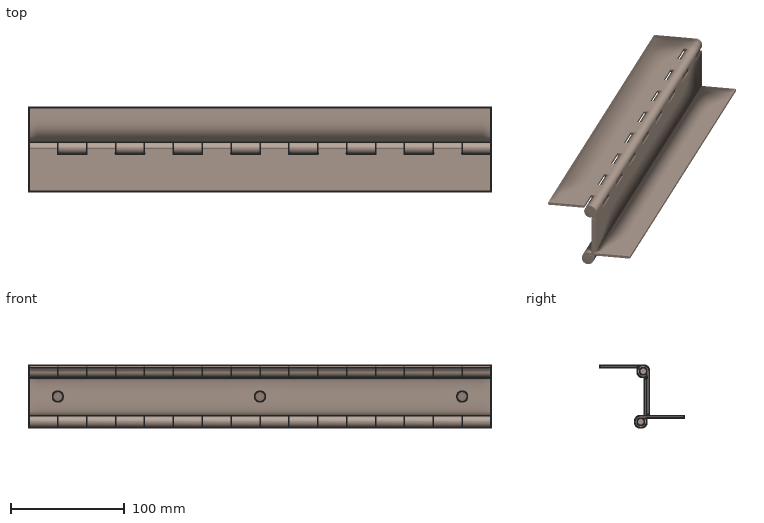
import cadquery as cq

length = 406.5
knuckle_count = 16
pin_diameter = 6.5
sheet_thickness = 2.2
overall_depth = 74.0
overall_height = 55.3
curl_gap = 0.12
hole_diameter = 9.5

knuckle_length = length / knuckle_count
pin_radius = pin_diameter / 2
barrel_radius = pin_radius + sheet_thickness
leaf_reach = (overall_depth + sheet_thickness) / 2
axis_height = overall_height / 2 - barrel_radius
axis_offset = sheet_thickness / 2
hole_inset = knuckle_length
hole_height = axis_height

lower_axis = (0, -axis_offset, -axis_height)
upper_axis = (0, axis_offset, axis_height)


def x_box(x_start, x_length, y_start, y_end, z_start, z_end):
    """Box given by its start and length along X and its limits in Y and Z."""
    box = cq.Workplane("XY").box(x_length, y_end - y_start, z_end - z_start, centered=False)
    return box.translate((x_start, y_start, z_start))


def x_cylinder(x_start, x_length, radius):
    """Cylinder around the X axis."""
    return cq.Workplane("YZ", origin=(x_start, 0, 0)).circle(radius).extrude(x_length)


def make_knuckle(x_start):
    """One curl around the pin, with the strip of leaf that runs tangentially into it."""
    barrel = x_cylinder(x_start, knuckle_length, barrel_radius)
    slit = x_box(x_start, knuckle_length, pin_radius - curl_gap, barrel_radius, 0, barrel_radius)
    strip = x_box(x_start, knuckle_length, pin_radius, barrel_radius, 0, barrel_radius)
    bore = x_cylinder(x_start, knuckle_length, pin_radius)
    return barrel.cut(slit).union(strip).cut(bore)


def make_leaf(first_knuckle):
    """Leaf standing up from a pin on the X axis, with every second knuckle from the given one."""
    leaf = x_box(-length / 2, length, pin_radius, barrel_radius, barrel_radius, leaf_reach)
    for index in range(first_knuckle, knuckle_count, 2):
        leaf = leaf.union(make_knuckle(-length / 2 + index * knuckle_length))
    return leaf


def drill_leaf(leaf):
    """Three holes along the middle of an upright leaf: one at each end and one halfway."""
    end_hole_x = length / 2 - hole_inset
    for hole_x in (-end_hole_x, 0, end_hole_x):
        drill = cq.Workplane("XZ", origin=(hole_x, barrel_radius, hole_height))
        leaf = leaf.cut(drill.circle(hole_diameter / 2).extrude(sheet_thickness))
    return leaf


def lay_flat(leaf):
    """Quarter turn about the pin axis that takes +Y to +Z."""
    return leaf.rotate((0, 0, 0), (1, 0, 0), 90)


def make_pin():
    """Pin through all the knuckles of one hinge."""
    return x_cylinder(-length / 2, length, pin_radius)


leaf_up = make_leaf(first_knuckle=0)
leaf_down = make_leaf(first_knuckle=1).mirror("XY")

lower_upright_leaf = drill_leaf(leaf_up).translate(lower_axis)
lower_flat_leaf = lay_flat(leaf_down).translate(lower_axis)

upper_upright_leaf = leaf_down.translate(upper_axis)
upper_flat_leaf = lay_flat(leaf_up).translate(upper_axis)

pins = [make_pin().translate(axis) for axis in (lower_axis, upper_axis)]

result = cq.Compound.makeCompound([
    lower_upright_leaf.val(),
    lower_flat_leaf.val(),
    upper_upright_leaf.val(),
    upper_flat_leaf.val(),
    *[pin.val() for pin in pins],
])